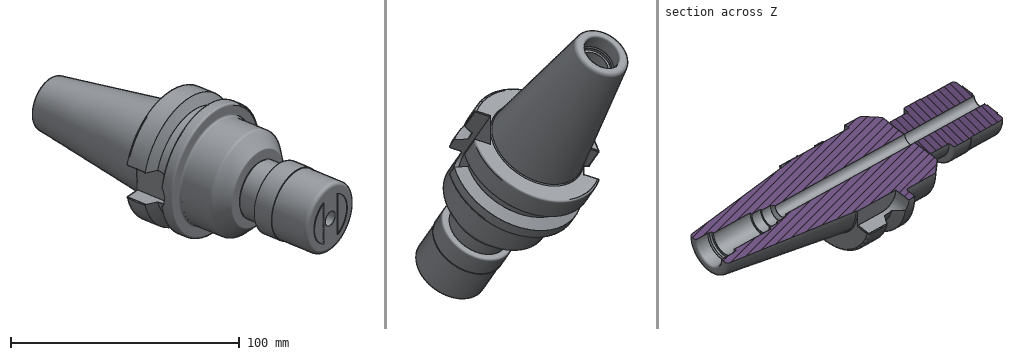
import cadquery as cq
import math


TAPER_LENGTH = 65.4
TAPER_LARGE_DIAMETER = 44.45
TAPER_RATIO = 7 / 24
TAPER_SMALL_DIAMETER = TAPER_LARGE_DIAMETER - TAPER_RATIO * TAPER_LENGTH
TAPER_END_FILLET = 2.0

FLANGE_START = TAPER_LENGTH + 1.0
FLANGE_END = TAPER_LENGTH + 27.0
FLANGE_DIAMETER = 63.0
FLANGE_FILLET = 1.0
FLANGE_ROOT_FILLET = 0.5
GROOVE_CENTER = TAPER_LENGTH + 16.5
GROOVE_DIAMETER = 52.9
GROOVE_FLOOR_WIDTH = 4.15
GROOVE_FLANK_ANGLE = 30.0
GROOVE_DEPTH = (FLANGE_DIAMETER - GROOVE_DIAMETER) / 2
GROOVE_FLANK_LENGTH = GROOVE_DEPTH * math.tan(math.radians(GROOVE_FLANK_ANGLE))
GROOVE_FLOOR_START = GROOVE_CENTER - GROOVE_FLOOR_WIDTH / 2
GROOVE_FLOOR_END = GROOVE_CENTER + GROOVE_FLOOR_WIDTH / 2
FRONT_LAND_END = GROOVE_FLOOR_START - GROOVE_FLANK_LENGTH
REAR_LAND_START = GROOVE_FLOOR_END + GROOVE_FLANK_LENGTH

SLOT_WIDTH = 16.3
SLOT_FLOOR = 22.65
SHORT_SLOT_END = 88.5
LONG_SLOT_END = 100.0
SLOT_EDGE_CHAMFER = 0.4

NOSE_DIAMETER = 50.6
NOSE_ROOT_FILLET = 1.0
NOSE_END = 115.9
NOSE_END_DIAMETER = 37.2
NOSE_CONE_LENGTH = (NOSE_DIAMETER - NOSE_END_DIAMETER) / 2
NOSE_CONE_FILLET = 1.6
NOSE_END_FILLET = 0.8

THROUGH_DIAMETER = 7.0
PILOT_DIAMETER = 17.0
PILOT_MOUTH_FILLET = 1.0
PILOT_DEPTH = 7.0
SEAT_DIAMETER = 16.3
SEAT_START = 7.8
SEAT_END = 9.0
THREAD_DIAMETER = 13.84
THREAD_END = 30.0
STEP_DIAMETER = 11.6
STEP_END = 35.0
DRILL_DIAMETER = 10.0
DRILL_END = 40.0

OVERALL_LENGTH = 156.2
SPINDLE_NECK_DIAMETER = 28.0
SPINDLE_NECK_CHAMFER = 0.7
COLLAR_START = 126.6
COLLAR_END = 136.6
COLLAR_DIAMETER = 34.5
COLLAR_FILLET = 1.0
SLEEVE_DIAMETER = 33.8
SLEEVE_END = 155.8
SLEEVE_END_FILLET = 1.8
DOG_DIAMETER = 23.4
DOG_GAP = 10.0


def revolve_about_x(points):
    """Turn a closed outline of (x, diameter) points about the X axis."""
    outline = [(x, diameter / 2) for x, diameter in points]
    return cq.Workplane("XY").polyline(outline).close().revolve(360, (0, 0, 0), (1, 0, 0))


def cylinder_along_x(start, end, diameter):
    return cq.Workplane("YZ", origin=(start, 0, 0)).circle(diameter / 2).extrude(end - start)


def fillet_ring(face_x, diameter, radius, side):
    """Disc with a concave rim that blends a cylinder into the plane at face_x; side is +1 or -1 along X."""
    root = diameter / 2
    sag = radius * (1 - math.sqrt(0.5))
    return (
        cq.Workplane("XY")
        .moveTo(face_x, 0)
        .lineTo(face_x, root + radius)
        .threePointArc((face_x + side * sag, root + sag), (face_x + side * radius, root))
        .lineTo(face_x + side * radius, 0)
        .close()
        .revolve(360, (0, 0, 0), (1, 0, 0))
    )


def make_shank():
    points = [(0, 0), (0, TAPER_SMALL_DIAMETER), (TAPER_LENGTH, TAPER_LARGE_DIAMETER),
              (FLANGE_START, TAPER_LARGE_DIAMETER), (FLANGE_START, 0)]
    shank = revolve_about_x(points)
    return shank.faces("<X").edges().fillet(TAPER_END_FILLET)


def make_flange():
    points = [
        (FLANGE_START, 0),
        (FLANGE_START, FLANGE_DIAMETER),
        (FRONT_LAND_END, FLANGE_DIAMETER),
        (GROOVE_FLOOR_START, GROOVE_DIAMETER),
        (GROOVE_FLOOR_END, GROOVE_DIAMETER),
        (REAR_LAND_START, FLANGE_DIAMETER),
        (FLANGE_END, FLANGE_DIAMETER),
        (FLANGE_END, 0),
    ]
    flange = revolve_about_x(points)
    return flange.faces("<X or >X").edges().fillet(FLANGE_FILLET)


def make_nose():
    nose = cylinder_along_x(FLANGE_END, NOSE_END, NOSE_DIAMETER)
    nose = nose.faces(">X").edges().chamfer(NOSE_CONE_LENGTH)
    nose = nose.edges(cq.selectors.RadiusNthSelector(-1)).edges(">X").fillet(NOSE_CONE_FILLET)
    return nose.faces(">X").edges().fillet(NOSE_END_FILLET)


def slot_cutter(end, side):
    """Round-ended drive slot, open toward the taper; side is +1 for +Y or -1 for -Y."""
    radius = SLOT_WIDTH / 2
    arc_center = end - radius
    return (
        cq.Workplane("XZ", origin=(0, side * SLOT_FLOOR, 0))
        .moveTo(TAPER_LENGTH, -radius)
        .lineTo(arc_center, -radius)
        .threePointArc((end, 0), (arc_center, radius))
        .lineTo(TAPER_LENGTH, radius)
        .close()
        .extrude(-side * FLANGE_DIAMETER / 2)
    )


def make_bore():
    drill_cone = (DRILL_DIAMETER - THROUGH_DIAMETER) / 2
    points = [
        (0, 0),
        (0, PILOT_DIAMETER),
        (PILOT_DEPTH, PILOT_DIAMETER),
        (SEAT_START, SEAT_DIAMETER),
        (SEAT_END, SEAT_DIAMETER),
        (SEAT_END, THREAD_DIAMETER),
        (THREAD_END, THREAD_DIAMETER),
        (THREAD_END, STEP_DIAMETER),
        (STEP_END, STEP_DIAMETER),
        (STEP_END, DRILL_DIAMETER),
        (DRILL_END, DRILL_DIAMETER),
        (DRILL_END + drill_cone, THROUGH_DIAMETER),
        (OVERALL_LENGTH, THROUGH_DIAMETER),
        (OVERALL_LENGTH, 0),
    ]
    mouth = fillet_ring(0, PILOT_DIAMETER, PILOT_MOUTH_FILLET, 1)
    return revolve_about_x(points).union(mouth)


def slot_edge_cutter(side):
    """Chamfers on the slot edges at the flange's front face and along the rim of its front land."""
    rim_radius = FLANGE_DIAMETER / 2
    half_width = SLOT_WIDTH / 2
    wide = half_width + SLOT_EDGE_CHAMFER
    chamfer_end = FLANGE_START + SLOT_EDGE_CHAMFER
    face_chamfer = (
        cq.Workplane("XZ", origin=(0, side * SLOT_FLOOR, 0))
        .moveTo(FLANGE_START, -wide)
        .lineTo(chamfer_end, -half_width)
        .lineTo(chamfer_end, half_width)
        .lineTo(FLANGE_START, wide)
        .close()
        .extrude(-side * (rim_radius - SLOT_FLOOR))
    )
    chamfer_top = math.sqrt(rim_radius**2 - wide**2)
    chamfer_bottom = chamfer_top - SLOT_EDGE_CHAMFER
    rim_chamfer = (
        cq.Workplane("YZ", origin=(FLANGE_START, 0, 0))
        .moveTo(side * chamfer_bottom, -half_width)
        .lineTo(side * chamfer_top, -wide)
        .lineTo(side * rim_radius, -wide)
        .lineTo(side * rim_radius, wide)
        .lineTo(side * chamfer_top, wide)
        .lineTo(side * chamfer_bottom, half_width)
        .close()
        .extrude(FRONT_LAND_END - FLANGE_START)
    )
    return face_chamfer.union(rim_chamfer)


def make_holder():
    holder = make_shank().union(make_flange()).union(make_nose())
    holder = holder.union(fillet_ring(FLANGE_START, TAPER_LARGE_DIAMETER, FLANGE_ROOT_FILLET, -1))
    holder = holder.union(fillet_ring(FLANGE_END, NOSE_DIAMETER, NOSE_ROOT_FILLET, 1))
    for side, slot_end in ((-1, SHORT_SLOT_END), (1, LONG_SLOT_END)):
        holder = holder.cut(slot_cutter(slot_end, side))
        holder = holder.cut(slot_edge_cutter(side))
    return holder.cut(make_bore())


def make_spindle():
    spindle = cylinder_along_x(NOSE_END, COLLAR_START, SPINDLE_NECK_DIAMETER)
    spindle = spindle.faces("<X").edges().chamfer(SPINDLE_NECK_CHAMFER)
    collar = cylinder_along_x(COLLAR_START, COLLAR_END, COLLAR_DIAMETER)
    collar = collar.faces("<X").edges().fillet(COLLAR_FILLET)
    sleeve = cylinder_along_x(COLLAR_END, SLEEVE_END, SLEEVE_DIAMETER)
    sleeve = sleeve.faces(">X").edges().fillet(SLEEVE_END_FILLET)
    dogs = cylinder_along_x(SLEEVE_END, OVERALL_LENGTH, DOG_DIAMETER)
    dog_height = OVERALL_LENGTH - SLEEVE_END
    gap = cq.Workplane("XY", origin=(OVERALL_LENGTH, 0, 0)).box(2 * dog_height, DOG_GAP, DOG_DIAMETER)
    spindle = spindle.union(collar).union(sleeve).union(dogs.cut(gap))
    return spindle.cut(cylinder_along_x(NOSE_END, OVERALL_LENGTH, THROUGH_DIAMETER))


holder = make_holder()
spindle = make_spindle()
result = cq.Compound.makeCompound([holder.val(), spindle.val()])